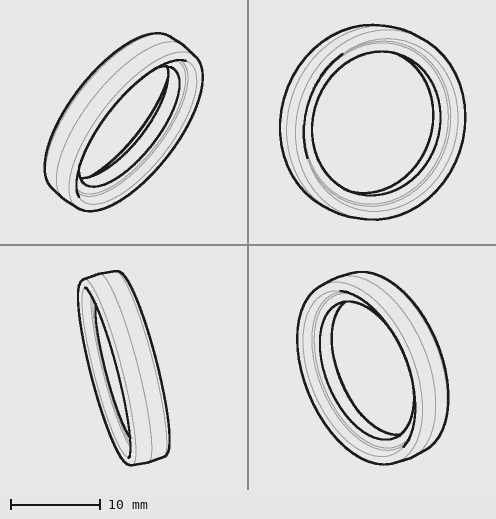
import cadquery as cq
import math

crown_radius = 10.85
width = 4.5
bore_radius = 8.09
web_thickness = 1.73
lip_round = 0.51
root_fillet = 0.24
crown_angle = math.radians(5)
wall_angle = math.radians(24)

web_face = web_thickness / 2


def on_circle(center, radius, angle):
    """Point on a circle of the half section, at an angle from the X direction."""
    x, r = center
    return (x + radius * math.cos(angle), r + radius * math.sin(angle))


lip_x = width / 2 - lip_round
lip_center = (
    lip_x,
    crown_radius - lip_x * math.tan(crown_angle) - lip_round / math.cos(crown_angle),
)
lip_outer = on_circle(lip_center, lip_round, math.pi / 2 - crown_angle)
lip_end = on_circle(lip_center, lip_round, 0)
lip_inner = on_circle(lip_center, lip_round, wall_angle - math.pi / 2)

root_x = web_face + root_fillet
wall_radius_at_root = lip_inner[1] - (lip_inner[0] - root_x) * math.tan(wall_angle)
root_center = (root_x, wall_radius_at_root - root_fillet / math.cos(wall_angle))
wall_normal = math.pi / 2 + wall_angle
root_outer = on_circle(root_center, root_fillet, wall_normal)
root_middle = on_circle(root_center, root_fillet, (wall_normal + math.pi) / 2)
root_inner = on_circle(root_center, root_fillet, math.pi)

half_ring = (
    cq.Workplane("XY")
    .moveTo(0, bore_radius)
    .lineTo(0, crown_radius)
    .lineTo(*lip_outer)
    .threePointArc(lip_end, lip_inner)
    .lineTo(*root_outer)
    .threePointArc(root_middle, root_inner)
    .lineTo(web_face, bore_radius)
    .close()
    .revolve(360, (0, 0, 0), (1, 0, 0))
)

result = half_ring.union(half_ring.mirror("YZ"))